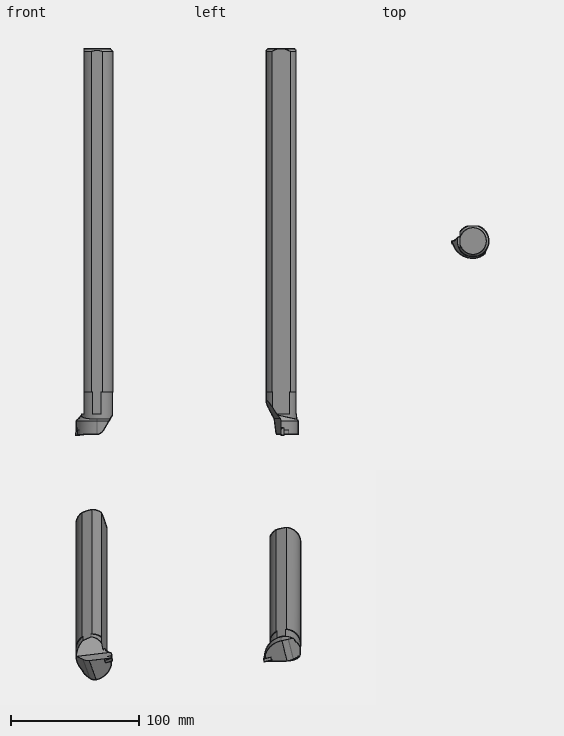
import cadquery as cq
import math

LENGTH = 301.2
SHANK_DIAMETER = 25.0
SHANK_R = SHANK_DIAMETER / 2
NECK_DIAMETER = 24.5
NECK_R = NECK_DIAMETER / 2
NECK_TOP_Z = 34.0
LEFT_FLAT_X = -10.2
SIDE_FLAT_Y = 11.7
FLAT_END_Z = 17.0
TOP_CHAMFER = 2.0

BASE_Z = 1.0
HEAD_ARC_R = 16.5
HEAD_LOW_Y = -13.5
HEAD_WALL_TOP_Z = 11.5
HEAD_CONE_HEIGHT = 5.0
RELIEF_TOP_X = 12.5
RELIEF_TOP_Z = 16.3
RELIEF_KNEE_X = 5.7
RELIEF_KNEE_Z = 5.0
RELIEF_MID_X = 4.0
RELIEF_MID_Z = 2.7
RELIEF_END_X = 1.0

NOSE_FLAT_START_X = -16.0
NOSE_FLAT_END_X = -14.0
NOSE_FLAT_END_Y = -6.3
NOSE_FLAT_OVERRUN_Y = 3.0
NOSE_FLAT_TOP_Z = 4.2

CHIP_FACE_ANGLE = 11.3
RAMP_START_Z = 13.3
RAMP_SLOPE = 0.6

OVERALL_WIDTH = 29.2
TIP_X = SHANK_R - OVERALL_WIDTH
INSERT_SIDE = 6.3
INSERT_THICKNESS = 2.5
NOSE_ANGLE = 80.0
LOWER_EDGE_ANGLE = 5.0
INSERT_CLEARANCE_ANGLE = 7.0

CLEAR = 60.2


def round_bar(radius, z_low, z_high):
    return cq.Workplane("XY").workplane(offset=z_low).circle(radius).extrude(z_high - z_low)


def make_bar():
    shank = round_bar(SHANK_R, NECK_TOP_Z, LENGTH).faces(">Z").chamfer(TOP_CHAMFER)
    bar = shank.union(round_bar(NECK_R, FLAT_END_Z, NECK_TOP_Z))
    flats = (
        cq.Workplane("XY")
        .box(CLEAR, 2 * SIDE_FLAT_Y, LENGTH, centered=(False, True, False))
        .translate((LEFT_FLAT_X, 0, 0))
    )
    return bar.intersect(flats).union(round_bar(NECK_R, BASE_Z, FLAT_END_Z))


def head_section(z, inset):
    """Head outline at height z, with both arcs drawn in by inset."""
    center_y = HEAD_LOW_Y + HEAD_ARC_R
    large_r = HEAD_ARC_R - inset
    small_r = -HEAD_LOW_Y - inset
    diagonal = math.cos(math.radians(45))
    return (
        cq.Workplane("XY")
        .workplane(offset=z)
        .moveTo(-large_r, center_y)
        .threePointArc((-large_r * diagonal, center_y - large_r * diagonal), (0, center_y - large_r))
        .threePointArc((small_r * diagonal, -small_r * diagonal), (small_r, 0))
        .lineTo(0, center_y)
        .close()
    )


def make_head():
    wall = head_section(BASE_Z, 0).extrude(HEAD_WALL_TOP_Z - BASE_Z)
    lower = head_section(HEAD_WALL_TOP_Z, 0).wires().val()
    upper = head_section(HEAD_WALL_TOP_Z + HEAD_CONE_HEIGHT, HEAD_CONE_HEIGHT).wires().val()
    cone = cq.Workplane(cq.Solid.makeLoft([lower, upper], True))
    return wall.union(cone)


def end_relief():
    """Clears the side of the head away from the tip, ending in a rounded corner at the base."""
    return (
        cq.Workplane("XZ", origin=(0, CLEAR, 0))
        .moveTo(RELIEF_TOP_X, RELIEF_TOP_Z)
        .lineTo(RELIEF_KNEE_X, RELIEF_KNEE_Z)
        .threePointArc((RELIEF_MID_X, RELIEF_MID_Z), (RELIEF_END_X, BASE_Z))
        .lineTo(RELIEF_END_X, -CLEAR)
        .lineTo(CLEAR, -CLEAR)
        .lineTo(CLEAR, RELIEF_TOP_Z)
        .close()
        .extrude(2 * CLEAR)
    )


def nose_clearance():
    """Sliced off the head wall just below the insert nose, up to a small ledge."""
    end_to_start = (NOSE_FLAT_START_X - NOSE_FLAT_END_X) / -NOSE_FLAT_END_Y
    far_x = NOSE_FLAT_START_X + end_to_start * NOSE_FLAT_OVERRUN_Y
    return (
        cq.Workplane("XY")
        .polyline([
            (NOSE_FLAT_END_X, NOSE_FLAT_END_Y),
            (far_x, NOSE_FLAT_OVERRUN_Y),
            (-CLEAR, NOSE_FLAT_OVERRUN_Y),
            (-CLEAR, NOSE_FLAT_END_Y),
        ])
        .close()
        .extrude(NOSE_FLAT_TOP_Z)
    )


def chip_space():
    ramp_rise = CLEAR - RAMP_START_Z
    return (
        cq.Workplane("YZ", origin=(-CLEAR, 0, 0))
        .polyline([
            (0, -CLEAR),
            (0, RAMP_START_Z),
            (RAMP_SLOPE * ramp_rise, CLEAR),
            (CLEAR, CLEAR),
            (CLEAR, -CLEAR),
        ])
        .close()
        .extrude(2 * CLEAR)
        .rotate((0, 0, 0), (0, 0, 1), CHIP_FACE_ANGLE)
        .translate((TIP_X, 0, 0))
    )


def make_insert():
    low = math.radians(LOWER_EDGE_ANGLE)
    high = math.radians(LOWER_EDGE_ANGLE + NOSE_ANGLE)
    low_step = (INSERT_SIDE * math.cos(low), INSERT_SIDE * math.sin(low))
    high_step = (INSERT_SIDE * math.cos(high), INSERT_SIDE * math.sin(high))
    return (
        cq.Workplane("XZ", origin=(TIP_X, 0, 0))
        .polyline([
            (0, 0),
            low_step,
            (low_step[0] + high_step[0], low_step[1] + high_step[1]),
            high_step,
        ])
        .close()
        .extrude(INSERT_THICKNESS, taper=INSERT_CLEARANCE_ANGLE)
    )


insert = make_insert()
holder = make_bar().union(make_head())
holder = holder.cut(end_relief()).cut(nose_clearance()).cut(chip_space()).cut(insert)

result = cq.Compound.makeCompound([holder.solids().val(), insert.val()])